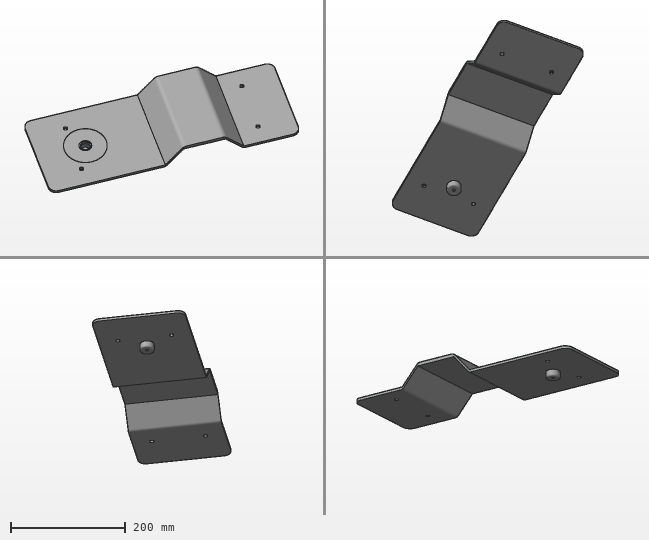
import cadquery as cq
import math

plate_width = 165.18
plate_length = 457.2
plate_thickness = 5.08
corner_radius = 14.3

overall_height = 55.78
bridge_center_y = 52.7
bridge_thickness = 6.35
bridge_foot_width = 143.6
ramp_angle = math.radians(48.1)
ramp_thickness = 3.8
foot_bend_radius = 8.0
crest_bend_radius = 11.0

mounting_hole_diameter = 7.0
mounting_hole_spacing_x = 95.25
mounting_hole_spacing_y = 322.58

drain_y = -139.7
bore_diameter = 17.27
disc_diameter = 76.2
disc_bore_diameter = 22.35
disc_thickness = 0.508
cup_diameter = 25.4
cup_height = 12.7
cup_edge_radius = 3.175
cup_floor_thickness = 3.175
floor_recess_diameter = 5.08
floor_recess_depth = 1.5

bridge_height = overall_height - cup_height


def bent_sheet():
    """The plate as a bent strip, with square corners and no holes."""
    end_y = plate_length / 2
    slope = math.tan(ramp_angle)
    bridge_underside = bridge_height - bridge_thickness

    upper_foot = bridge_foot_width / 2
    upper_crest = upper_foot - (bridge_height - plate_thickness) / slope
    lower_foot = upper_foot + plate_thickness / slope - ramp_thickness / math.sin(ramp_angle)
    lower_crest = lower_foot - bridge_underside / slope

    front_upper = [
        (bridge_center_y - upper_foot, plate_thickness),
        (bridge_center_y - upper_crest, bridge_height),
    ]
    rear_upper = [
        (bridge_center_y + upper_crest, bridge_height),
        (bridge_center_y + upper_foot, plate_thickness),
    ]
    rear_lower = [
        (bridge_center_y + lower_foot, 0),
        (bridge_center_y + lower_crest, bridge_underside),
    ]
    front_lower = [
        (bridge_center_y - lower_crest, bridge_underside),
        (bridge_center_y - lower_foot, 0),
    ]
    upper_line = [(-end_y, plate_thickness), *front_upper, *rear_upper, (end_y, plate_thickness)]
    lower_line = [(end_y, 0), *rear_lower, *front_lower, (-end_y, 0)]
    sheet = (
        cq.Workplane("YZ")
        .polyline(upper_line + lower_line)
        .close()
        .extrude(plate_width / 2, both=True)
    )

    bends = [
        (lower_foot, 0, foot_bend_radius),
        (upper_crest, bridge_height, crest_bend_radius),
    ]
    for distance, z, radius in bends:
        for side in (-1, 1):
            corner = (0, bridge_center_y + side * distance, z)
            sheet = sheet.edges(cq.selectors.NearestToPointSelector(corner)).fillet(radius)
    return sheet


def make_plate():
    mounting_holes = (
        cq.Workplane("XY")
        .rect(mounting_hole_spacing_x, mounting_hole_spacing_y, forConstruction=True)
        .vertices()
        .circle(mounting_hole_diameter / 2)
        .extrude(plate_thickness)
    )
    drain_bore = (
        cq.Workplane("XY", origin=(0, drain_y, 0))
        .circle(bore_diameter / 2)
        .extrude(plate_thickness)
    )
    return bent_sheet().edges("|Z").fillet(corner_radius).cut(mounting_holes).cut(drain_bore)


def make_disc():
    return (
        cq.Workplane("XY", origin=(0, drain_y, plate_thickness))
        .circle(disc_diameter / 2)
        .circle(disc_bore_diameter / 2)
        .extrude(disc_thickness)
    )


def make_cup():
    floor_z = cup_floor_thickness - cup_height
    cup = (
        cq.Workplane("XY", origin=(0, drain_y, -cup_height))
        .circle(cup_diameter / 2)
        .extrude(cup_height)
        .faces("<Z")
        .edges()
        .fillet(cup_edge_radius)
    )
    bore = (
        cq.Workplane("XY", origin=(0, drain_y, floor_z))
        .circle(bore_diameter / 2)
        .extrude(cup_height - cup_floor_thickness)
    )
    floor_recess = (
        cq.Workplane("XY", origin=(0, drain_y, floor_z))
        .circle(floor_recess_diameter / 2)
        .extrude(-floor_recess_depth)
    )
    return cup.cut(bore).cut(floor_recess)


plate = make_plate()
disc = make_disc()
cup = make_cup()
result = cq.Compound.makeCompound([plate.solids().val(), disc.solids().val(), cup.solids().val()])